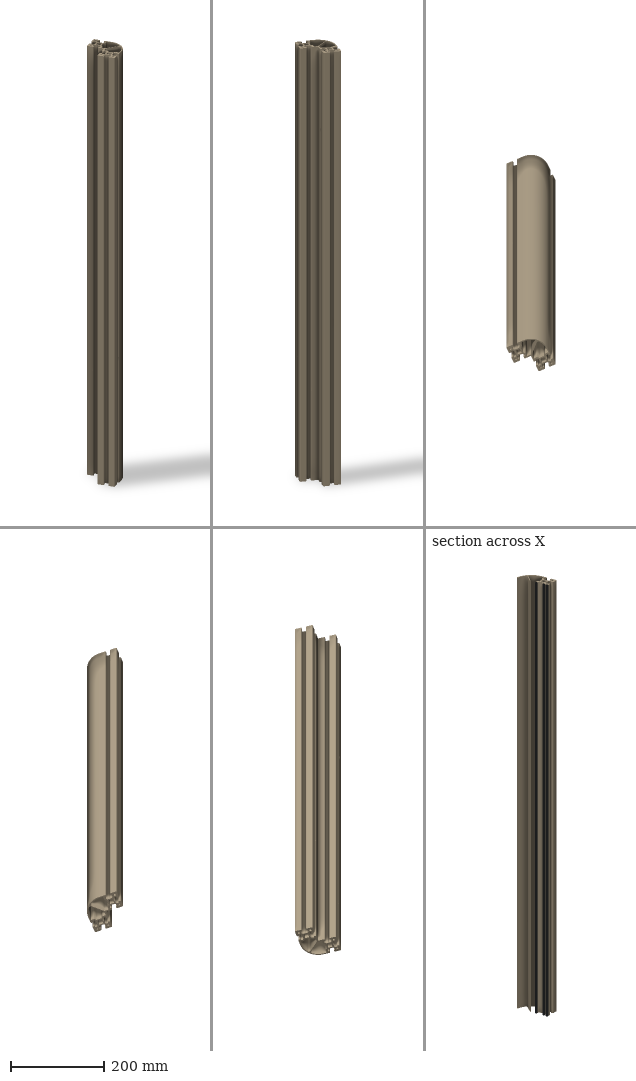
import cadquery as cq
import math

length = 1000.0
module = 40.0
half = module / 2
corner_radius = 2.0

slot_width = 10.0
mouth_rounding = 1.5
lip_depth = 5.0
cavity_width = 16.0
core_size = 16.0
web = 3.5
groove_width = 2.0
groove_depth = 1.0
bore_size = 10.0

chamber_size = 4.0
chamber_offset = 13.0

wall = 2.5
inner_wall = 3.0
pocket_depth = 8.0
rib_thickness = 1.5
rib_root_radius = 4.0


def prism(outline):
    return outline.close().extrude(length)


def swap_xy(solid):
    """Move a solid to its mirror place across the diagonal plane X = Y."""
    return solid.rotate((0, 0, 0), (1, 1, 0), 180).translate((0, 0, length))


def arm_block():
    """Solid square arm in the -X, +Y quadrant."""
    block = cq.Workplane("XY").rect(module, module).extrude(length)
    return block.edges("|Z").edges("<X").fillet(corner_radius).translate((-half, half, 0))


def slot():
    """Cutter for the slot in the +Y face of an arm centred on the Z axis."""
    mouth = slot_width / 2
    shoulder = cavity_width / 2
    floor = core_size / 2
    web_shift = web / math.sqrt(2)
    right = [
        (mouth, half - mouth_rounding),
        (mouth, half - lip_depth),
        (shoulder, half - lip_depth),
        (shoulder, shoulder + web_shift),
        (floor - web_shift, floor),
        (groove_width / 2, floor),
    ]
    left = [(-x, y) for x, y in reversed(right)]
    groove_bottom = [(0, floor - groove_depth)]
    outline = (
        cq.Workplane("XY")
        .polyline(right + groove_bottom + left)
        .radiusArc((-mouth - mouth_rounding, half), -mouth_rounding)
        .lineTo(mouth + mouth_rounding, half)
        .radiusArc(right[0], -mouth_rounding)
    )
    return prism(outline)


def arm_cuts():
    """Core passage, corner chambers and the three open slots of the -X, +Y arm."""
    cuts = cq.Workplane("XY").rect(bore_size, bore_size).extrude(length)
    chamber_centres = [(-chamber_offset, -chamber_offset), (-chamber_offset, chamber_offset)]
    chambers = cq.Workplane("XY").pushPoints(chamber_centres).rect(chamber_size, chamber_size)
    cuts = cuts.union(chambers.extrude(length))
    for angle in (0, 90, 180):
        cuts = cuts.union(slot().rotate((0, 0, 0), (0, 0, 1), angle))
    return cuts.translate((-half, half, 0))


def quarter_round(radius, setback):
    """Quarter disc about the Z axis with its straight sides moved in by setback."""
    reach = math.sqrt(radius**2 - setback**2)
    diagonal = radius / math.sqrt(2)
    outline = (
        cq.Workplane("XY")
        .moveTo(setback, setback)
        .lineTo(setback, reach)
        .threePointArc((diagonal, diagonal), (reach, setback))
    )
    return prism(outline)


def arm_pocket():
    """Part of the hollow that reaches into the -X, +Y arm as far as its core."""
    core_face = core_size / 2 - half
    web_shift = web / math.sqrt(2)
    core_edge = core_size / 2 - web_shift
    slope_end = core_edge - core_face - pocket_depth
    upper_right = (inner_wall, math.sqrt((module - wall) ** 2 - inner_wall**2))
    outline = [
        (core_face, half + core_edge),
        (-pocket_depth, half + slope_end),
        (-pocket_depth, module - wall),
        (0, module - wall),
        upper_right,
        (inner_wall, inner_wall),
        (-pocket_depth, inner_wall),
        (-pocket_depth, half - slope_end),
        (core_face, half - core_edge),
    ]
    return prism(cq.Workplane("XY").polyline(outline))


def rib():
    """Diagonal rib from the inside corner, flaring into the middle of the curved wall."""
    side = rib_thickness / 2
    inner_radius = module - wall
    fillet_y = side + rib_root_radius
    fillet_x = math.sqrt((inner_radius - rib_root_radius) ** 2 - fillet_y**2)
    angle = math.atan2(fillet_y, fillet_x)
    wall_point = (inner_radius * math.cos(angle), inner_radius * math.sin(angle))
    outer_point = (module - wall / 2, 0)
    outline = (
        cq.Workplane("XY")
        .moveTo(0, -side)
        .lineTo(fillet_x, -side)
        .radiusArc((wall_point[0], -wall_point[1]), rib_root_radius)
        .threePointArc(outer_point, wall_point)
        .radiusArc((fillet_x, side), rib_root_radius)
        .lineTo(0, side)
    )
    return prism(outline).rotate((0, 0, 0), (0, 0, 1), 45)


arm = arm_block()
cuts = arm_cuts()
pocket = arm_pocket()
solid_profile = quarter_round(module, 0).union(arm).union(swap_xy(arm))
hollow = quarter_round(module - wall, inner_wall).union(pocket).union(swap_xy(pocket))
walls = solid_profile.cut(hollow).cut(cuts).cut(swap_xy(cuts))
result = walls.union(rib().cut(cuts))